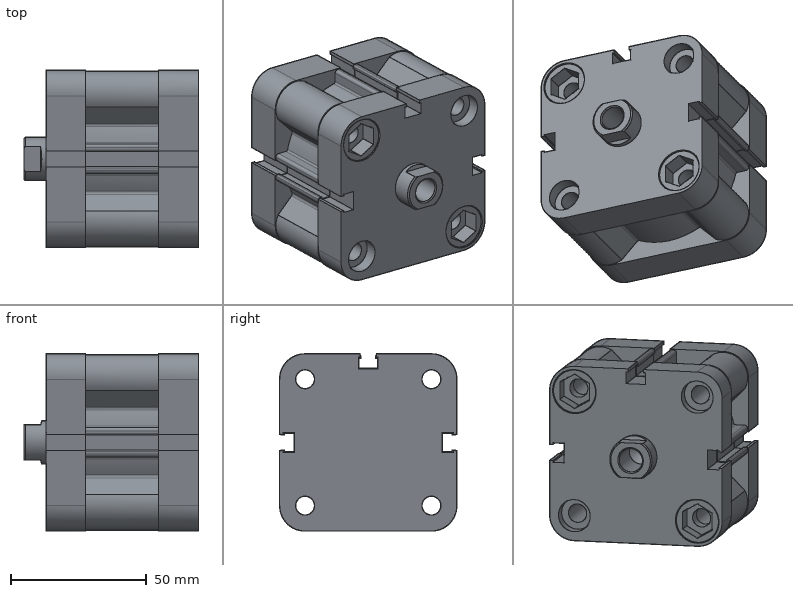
import cadquery as cq
import math


COVER_SIDE = 65.5
CORNER_PITCH = 46.65
CORNER_OFFSET = CORNER_PITCH / 2
COVER_CORNER_RADIUS = COVER_SIDE / 2 - CORNER_OFFSET
FRONT_COVER_LENGTH = 14.6
REAR_COVER_LENGTH = 14.9

BARREL_LENGTH = 26.85
BARREL_HALF_SIDE = 32.4
BARREL_RADIUS = 27.8
WEB_END_RADIUS = BARREL_HALF_SIDE - CORNER_OFFSET
WEB_WIDTH = 17.3
WEB_FILLET = 1.05
RAIL_WIDTH = 10.9
RAIL_FOOT_FILLET = 0.8
RAIL_EDGE_FILLET = 1.2
RAIL_BASE = 24.9
HOUSING_LENGTH = FRONT_COVER_LENGTH + BARREL_LENGTH + REAR_COVER_LENGTH

POSITION_TOLERANCE = 0.005

SLOT_ANGLES = (0, 90, -90)
COVER_LIP_WIDTH = 6.0
COVER_LIP_BOTTOM = 31.5
COVER_SLOT_WIDTH = 7.3
COVER_SLOT_FLOOR = 27.2
BARREL_LIP_WIDTH = 5.5
BARREL_LIP_BOTTOM = 31.0
BARREL_SLOT_WIDTH = 6.7
BARREL_SLOT_FLOOR = 27.45
LIP_EDGE_FILLET = 0.6

HOLE_DIAMETER = 6.9
COUNTERBORE_DIAMETER = 12.05
COUNTERBORE_DEPTH = 5.0

SCREW_DIAMETER = 16.0
SCREW_GAP = 0.25
SCREW_LENGTH = 12.45
SCREW_SETBACK = 0.4
SOCKET_ACROSS_FLATS = 11.2
SOCKET_DEPTH = 6.6

ROD_DIAMETER = 16.05
ROD_PROTRUSION = 8.2
ROD_CHAMFER = 0.5
ROD_ACROSS_FLATS = 13.1
FLAT_LENGTH = 6.15
SHOULDER_RUN = 0.45
ROD_BORE_DIAMETER = 8.8
ROD_BORE_DEPTH = 16.4
ROD_BORE_CHAMFER = 0.45
DRILL_POINT_ANGLE = 118.0

SCREW_CENTRES = [(CORNER_OFFSET, CORNER_OFFSET), (-CORNER_OFFSET, -CORNER_OFFSET)]
COUNTERBORE_CENTRES = [(CORNER_OFFSET, -CORNER_OFFSET), (-CORNER_OFFSET, CORNER_OFFSET)]
CORNER_CENTRES = SCREW_CENTRES + COUNTERBORE_CENTRES


def section(x):
    """Sketch plane across the axis at x; local coordinates are (Y, Z)."""
    return cq.Workplane("YZ", origin=(x, 0, 0))


def turned(body, angle):
    """Copy of a body turned about the cylinder axis."""
    return body.rotate((0, 0, 0), (1, 0, 0), angle)


def slot_cutter(x, length, lip_width, lip_bottom, slot_width, floor):
    """Undercut groove open towards +Z: a narrow mouth above a wider channel."""
    top = COVER_SIDE / 2
    mouth = section(x).center(0, (top + floor) / 2).rect(lip_width, top - floor).extrude(length)
    channel = section(x).center(0, (lip_bottom + floor) / 2).rect(slot_width, lip_bottom - floor)
    return mouth.union(channel.extrude(length))


def make_cover(x, length):
    """Square end cover with rounded corners and three sensor slots."""
    cover = section(x).rect(COVER_SIDE, COVER_SIDE).extrude(length)
    cover = cover.edges("|X").fillet(COVER_CORNER_RADIUS)
    slot = slot_cutter(x, length, COVER_LIP_WIDTH, COVER_LIP_BOTTOM, COVER_SLOT_WIDTH, COVER_SLOT_FLOOR)
    for angle in SLOT_ANGLES:
        cover = cover.cut(turned(slot, angle))
    return cover


def make_rail():
    """Slot rail on the +Z side, with rounded outer edges."""
    rail = section(FRONT_COVER_LENGTH).center(0, (RAIL_BASE + BARREL_HALF_SIDE) / 2)
    rail = rail.rect(RAIL_WIDTH, BARREL_HALF_SIDE - RAIL_BASE).extrude(BARREL_LENGTH)
    return rail.edges("|X and >Z").fillet(RAIL_EDGE_FILLET)


def make_barrel_slot():
    """Sensor slot of the barrel, flared at the mouth by the rounded lip edges."""
    x = FRONT_COVER_LENGTH
    slot = slot_cutter(
        x, BARREL_LENGTH, BARREL_LIP_WIDTH, BARREL_LIP_BOTTOM, BARREL_SLOT_WIDTH, BARREL_SLOT_FLOOR
    )
    half_mouth = BARREL_LIP_WIDTH / 2
    flare_half = half_mouth + LIP_EDGE_FILLET
    flare_bottom = BARREL_HALF_SIDE - LIP_EDGE_FILLET
    flare = section(x).moveTo(-half_mouth, flare_bottom)
    flare = flare.radiusArc((-flare_half, BARREL_HALF_SIDE), -LIP_EDGE_FILLET)
    flare = flare.lineTo(flare_half, BARREL_HALF_SIDE)
    flare = flare.radiusArc((half_mouth, flare_bottom), -LIP_EDGE_FILLET).close()
    return slot.union(flare.extrude(BARREL_LENGTH))


def make_web():
    """Flat-sided web through the axis along Y, ending in rounds about the corner hole centres."""
    hole_distance = CORNER_PITCH / math.sqrt(2)
    half_width = WEB_WIDTH / 2
    flat_end = hole_distance + math.sqrt(WEB_END_RADIUS**2 - half_width**2)
    tip = hole_distance + WEB_END_RADIUS
    web = section(FRONT_COVER_LENGTH).moveTo(-flat_end, -half_width).lineTo(flat_end, -half_width)
    web = web.threePointArc((tip, 0), (flat_end, half_width)).lineTo(-flat_end, half_width)
    web = web.threePointArc((-tip, 0), (-flat_end, -half_width)).close()
    return web.extrude(BARREL_LENGTH)


def fillet_barrel_corners(barrel, radius, at_rail):
    """Fillet the inner corners where the round wall meets the rails, or else the webs."""
    def is_wanted(edge):
        y = abs(edge.Center().y)
        z = abs(edge.Center().z)
        on_round_wall = abs(math.hypot(y, z) - BARREL_RADIUS) < POSITION_TOLERANCE
        beside_rail = min(y, z) < RAIL_WIDTH / 2 + POSITION_TOLERANCE
        return on_round_wall and beside_rail == at_rail

    return barrel.edges("|X").filter(is_wanted).fillet(radius)


def make_barrel():
    """Round barrel with diagonal webs to the corners and a slotted rail on three sides."""
    barrel = section(FRONT_COVER_LENGTH).circle(BARREL_RADIUS).extrude(BARREL_LENGTH)
    web = make_web()
    barrel = barrel.union(turned(web, 45)).union(turned(web, -45))
    rail = make_rail()
    for angle in SLOT_ANGLES:
        barrel = barrel.union(turned(rail, angle))

    barrel = fillet_barrel_corners(barrel, RAIL_FOOT_FILLET, at_rail=True)
    barrel = fillet_barrel_corners(barrel, WEB_FILLET, at_rail=False)
    slot = make_barrel_slot()
    for angle in SLOT_ANGLES:
        barrel = barrel.cut(turned(slot, angle))
    return barrel


def make_housing():
    rear_start = FRONT_COVER_LENGTH + BARREL_LENGTH
    housing = make_cover(0, FRONT_COVER_LENGTH).union(make_barrel())
    housing = housing.union(make_cover(rear_start, REAR_COVER_LENGTH))

    through_holes = section(0).pushPoints(CORNER_CENTRES).circle(HOLE_DIAMETER / 2).extrude(HOUSING_LENGTH)
    counterbores = section(0).pushPoints(COUNTERBORE_CENTRES).circle(COUNTERBORE_DIAMETER / 2)
    screw_recesses = section(0).pushPoints(SCREW_CENTRES).circle(SCREW_DIAMETER / 2 + SCREW_GAP)
    rod_seat = section(0).circle(ROD_DIAMETER / 2).extrude(FRONT_COVER_LENGTH)
    housing = housing.cut(through_holes).cut(counterbores.extrude(COUNTERBORE_DEPTH))
    return housing.cut(screw_recesses.extrude(SCREW_SETBACK + SCREW_LENGTH)).cut(rod_seat)


def make_screw(centre):
    """Flange screw, set back in its recess, with a hexagon socket and a through hole."""
    across_corners = SOCKET_ACROSS_FLATS / math.cos(math.radians(30))
    outline = section(SCREW_SETBACK).center(*centre)
    socket = outline.transformed(rotate=(0, 0, 90)).polygon(6, across_corners).extrude(SOCKET_DEPTH)
    hole = outline.circle(HOLE_DIAMETER / 2).extrude(SCREW_LENGTH)
    return outline.circle(SCREW_DIAMETER / 2).extrude(SCREW_LENGTH).cut(socket).cut(hole)


def make_rod():
    """Piston rod end with two wrench flats and a drilled, chamfered bore."""
    tip = -ROD_PROTRUSION
    rod = section(tip).circle(ROD_DIAMETER / 2).extrude(ROD_PROTRUSION + FRONT_COVER_LENGTH)
    rod = rod.faces("<X").chamfer(ROD_CHAMFER)

    flat_end = tip + FLAT_LENGTH
    flat_height = ROD_ACROSS_FLATS / 2
    rod_radius = ROD_DIAMETER / 2
    flat = cq.Workplane("XZ").polyline([
        (tip, flat_height),
        (flat_end, flat_height),
        (flat_end + SHOULDER_RUN, rod_radius),
        (tip, rod_radius),
    ]).close().extrude(rod_radius, both=True)
    rod = rod.cut(flat).cut(turned(flat, 180))

    bore_radius = ROD_BORE_DIAMETER / 2
    mouth_radius = bore_radius + ROD_BORE_CHAMFER
    point_length = bore_radius / math.tan(math.radians(DRILL_POINT_ANGLE / 2))
    bore = cq.Workplane("XZ").polyline([
        (tip, 0),
        (tip, mouth_radius),
        (tip + ROD_BORE_CHAMFER, bore_radius),
        (tip + ROD_BORE_DEPTH, bore_radius),
        (tip + ROD_BORE_DEPTH + point_length, 0),
    ]).close().revolve(360, (0, 0, 0), (1, 0, 0))
    return rod.cut(bore)


housing = make_housing()
rod = make_rod()
screws = [make_screw(centre) for centre in SCREW_CENTRES]

result = cq.Compound.makeCompound([housing.val(), rod.val(), *[screw.val() for screw in screws]])